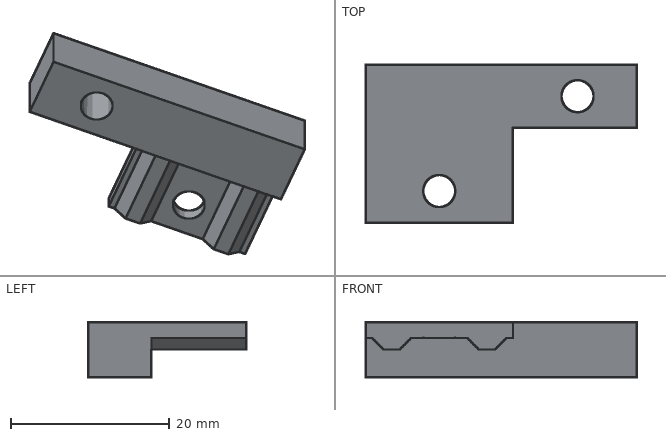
import cadquery as cq

length = 34.3
depth = 20.0
height = 7.0
bar_depth = 8.0
plate_width = 18.62
plate_thickness = 2.0
hole_diameter = 4.0
bar_hole_x = 26.8
plate_hole_y = 4.0

rib_height = 1.5
rib_root_width = 5.0
rib_tip_width = 2.0
rib_spacing = 12.05

plate_depth = depth - bar_depth
plate_underside = height - plate_thickness
plate_center_x = plate_width / 2


def make_bar():
    """Full-height bar along the back edge."""
    return cq.Workplane("XY").box(length, bar_depth, height, centered=False).translate((0, plate_depth, 0))


def make_plate():
    """Thin plate, flush with the top of the bar and running to its back face."""
    return (
        cq.Workplane("XY")
        .box(plate_width, depth, plate_thickness, centered=False)
        .translate((0, 0, plate_underside))
    )


def make_rib(center_x):
    """Tapered rib hanging below the plate, from its front edge to the bar."""
    rib_bottom = plate_underside - rib_height
    return (
        cq.Workplane("XZ")
        .polyline([
            (center_x - rib_root_width / 2, plate_underside),
            (center_x - rib_tip_width / 2, rib_bottom),
            (center_x + rib_tip_width / 2, rib_bottom),
            (center_x + rib_root_width / 2, plate_underside),
        ])
        .close()
        .extrude(-plate_depth)
    )


def make_hole(x, y):
    """Cylinder that cuts a through hole."""
    return cq.Workplane("XY").center(x, y).circle(hole_diameter / 2).extrude(height)


body = make_bar().union(make_plate())
for side in (-1, 1):
    body = body.union(make_rib(plate_center_x + side * rib_spacing / 2))

bar_center_y = plate_depth + bar_depth / 2
for x, y in ((plate_center_x, plate_hole_y), (bar_hole_x, bar_center_y)):
    body = body.cut(make_hole(x, y))

result = body